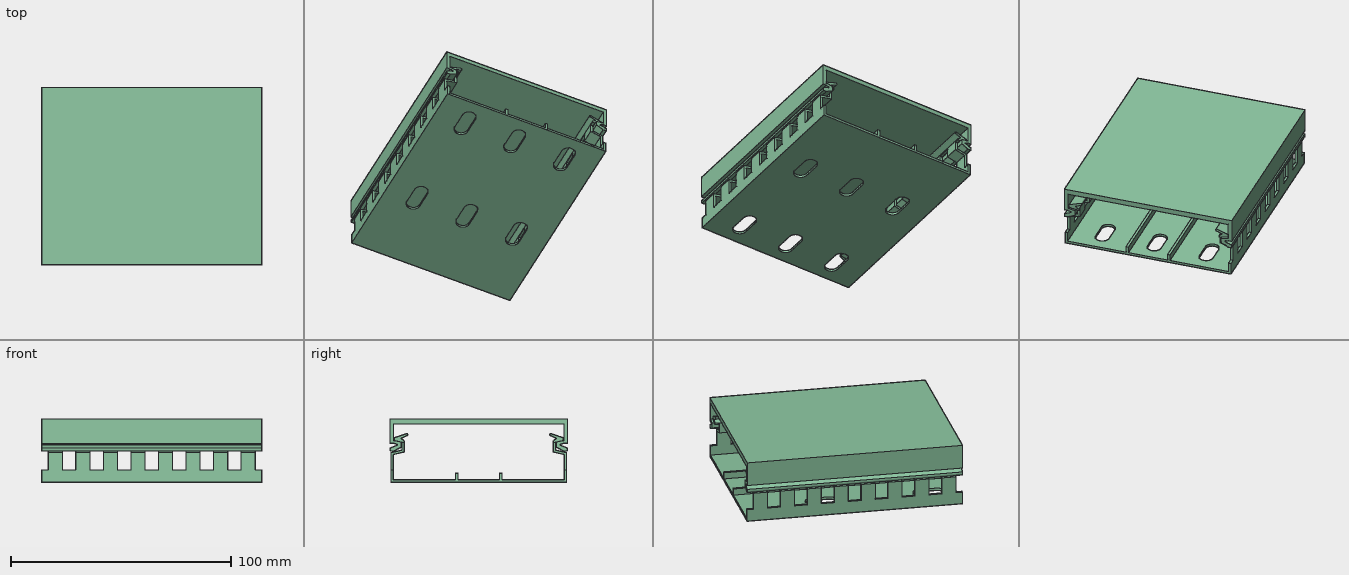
import cadquery as cq

LENGTH = 100.0
WIDTH = 80.6
HEIGHT = 28.8

TRAY_INSET = 0.4
TRAY_WALL = 1.2
TRAY_WALL_INNER = TRAY_INSET + TRAY_WALL
CURB_HEIGHT = 5.7
DIVIDER_SPACING = 20.0
DIVIDER_TOP = 4.2

SLOT_LENGTH = 14.5
SLOT_WIDTH = 6.5
SLOT_PITCH_X = 50.0
SLOT_PITCH_Y = 25.0
FIRST_SLOT_X = -37.5
SLOT_COLUMNS = 2
SLOT_ROWS = 3

FINGER_COUNT = 8
FINGER_PITCH = LENGTH / FINGER_COUNT
FINGER_WIDTH = 6.5
FINGER_TOP_Z = 18.1
SHOULDER_Z = 13.5
SHELF_UNDERSIDE_Z = 12.6
SHELF_RISE = 1.2
CATCH_OUTER = 5.4
CATCH_INNER = CATCH_OUTER + TRAY_WALL

RAIL_END_GAP = 1.0
RAIL_LENGTH = LENGTH - 2 * RAIL_END_GAP
RAIL_SHOULDER_Z = 18.7
HEEL_INSET = 2.0
HEEL_TOP_Z = 20.3
PRONG_ROOT = (5.1, 20.0)
PRONG_LOWER = (7.6, 21.1)
PRONG_TIP = (8.1, 21.7)
PRONG_UPPER = (7.3, 22.1)

COVER_TOP = 2.4
COVER_WALL = 1.7
COVER_EDGE_Z = 17.7
LEDGE_ROOT_Z = 19.0
LEDGE_END_Z = 18.3
LEDGE_INSET = 5.1
LEDGE_SLOPE = (LEDGE_END_Z - LEDGE_ROOT_Z) / (LEDGE_INSET - COVER_WALL)
HOOK_SHOULDER_Z = 15.9
GROOVE_INSET = 3.2
GROOVE_TOP_Z = 17.2
GROOVE_LOW_Z = 16.9
LIP_TOP_Z = 15.7
LIP_BOTTOM_Z = 14.2
LIP_ROUNDING = 0.2
LIP_HEEL_INSET = 1.8


def place(side, point):
    """Turn an (inset, z) point into (y, z) on the +Y (side 1) or -Y (side -1) half."""
    inset, z = point
    return (side * (WIDTH / 2 - inset), z)


def ledge_z(inset):
    """Height of the sloping ledge on which the snap rails rest."""
    return LEDGE_ROOT_Z + LEDGE_SLOPE * (inset - COVER_WALL)


def arc_section_bar(side, length, before_arc, arc_middle, after_arc):
    """Bar along X, centred on X = 0, whose outline has one arc, between the two point lists."""
    start, *rest = [place(side, point) for point in before_arc]
    arc_end, *remaining = [place(side, point) for point in after_arc]
    profile = cq.Workplane("YZ", origin=(-length / 2, 0, 0)).moveTo(*start)
    for point in rest:
        profile = profile.lineTo(*point)
    profile = profile.threePointArc(place(side, arc_middle), arc_end)
    for point in remaining:
        profile = profile.lineTo(*point)
    return profile.close().extrude(length)


def block(width, y, bottom, top):
    """Full-length bar centred on X = 0 and on the given y."""
    return cq.Workplane("XY", origin=(0, y, bottom)).rect(LENGTH, width).extrude(top - bottom)


def finger(side, center_x):
    """Side finger: wall, sloping shelf and upright catch."""
    outline = [
        (TRAY_INSET, CURB_HEIGHT),
        (TRAY_WALL_INNER, CURB_HEIGHT),
        (TRAY_WALL_INNER, SHELF_UNDERSIDE_Z),
        (CATCH_INNER, SHELF_UNDERSIDE_Z + SHELF_RISE),
        (CATCH_INNER, FINGER_TOP_Z),
        (CATCH_OUTER, FINGER_TOP_Z),
        (CATCH_OUTER, SHOULDER_Z + SHELF_RISE),
        (TRAY_INSET, SHOULDER_Z),
    ]
    plane = cq.Workplane("YZ", origin=(center_x - FINGER_WIDTH / 2, 0, 0))
    return plane.polyline([place(side, point) for point in outline]).close().extrude(FINGER_WIDTH)


def snap_rail(side):
    """Rail that closes the gaps between the fingers, with its inward prong."""
    up_to_prong = [
        (CATCH_OUTER, FINGER_TOP_Z),
        (CATCH_INNER, FINGER_TOP_Z),
        (CATCH_INNER, RAIL_SHOULDER_Z),
        PRONG_ROOT,
        PRONG_LOWER,
    ]
    back_along_ledge = [
        PRONG_UPPER,
        (HEEL_INSET, HEEL_TOP_Z),
        (HEEL_INSET, ledge_z(HEEL_INSET)),
        (CATCH_OUTER, ledge_z(CATCH_OUTER)),
    ]
    return arc_section_bar(side, RAIL_LENGTH, up_to_prong, PRONG_TIP, back_along_ledge)


def floor_slots():
    """Rounded mounting slots through the tray floor."""
    centers = [
        (FIRST_SLOT_X + column * SLOT_PITCH_X, (row - (SLOT_ROWS - 1) / 2) * SLOT_PITCH_Y)
        for column in range(SLOT_COLUMNS)
        for row in range(SLOT_ROWS)
    ]
    return cq.Workplane("XY").pushPoints(centers).slot2D(SLOT_LENGTH, SLOT_WIDTH).extrude(TRAY_WALL)


def make_tray():
    tray = block(WIDTH - 2 * TRAY_INSET, 0, 0, TRAY_WALL)
    for side in (1, -1):
        curb_y = side * (WIDTH / 2 - TRAY_INSET - TRAY_WALL / 2)
        tray = tray.union(block(TRAY_WALL, curb_y, 0, CURB_HEIGHT))
        tray = tray.union(block(TRAY_WALL, side * DIVIDER_SPACING / 2, 0, DIVIDER_TOP))
        for index in range(FINGER_COUNT):
            center_x = (index - (FINGER_COUNT - 1) / 2) * FINGER_PITCH
            tray = tray.union(finger(side, center_x))
        tray = tray.union(snap_rail(side))
    return tray.cut(floor_slots())


def cover_side(side):
    """Cover side wall with the latching ledge, the V groove and the rounded outer lip."""
    down_to_lip = [
        (0, HEIGHT),
        (0, COVER_EDGE_Z),
        (COVER_WALL, COVER_EDGE_Z),
        (GROOVE_INSET, GROOVE_TOP_Z),
        (GROOVE_INSET, GROOVE_LOW_Z),
        (LIP_ROUNDING, LIP_TOP_Z),
    ]
    back_up = [
        (LIP_ROUNDING, LIP_BOTTOM_Z),
        (LIP_HEEL_INSET, LIP_BOTTOM_Z),
        (LEDGE_INSET, HOOK_SHOULDER_Z),
        (LEDGE_INSET, LEDGE_END_Z),
        (COVER_WALL, LEDGE_ROOT_Z),
        (COVER_WALL, HEIGHT),
    ]
    nose = (0, (LIP_TOP_Z + LIP_BOTTOM_Z) / 2)
    return arc_section_bar(side, LENGTH, down_to_lip, nose, back_up)


def make_cover():
    cover = block(WIDTH, 0, HEIGHT - COVER_TOP, HEIGHT)
    for side in (1, -1):
        cover = cover.union(cover_side(side))
    return cover.clean()


tray = make_tray()
cover = make_cover()
result = cq.Compound.makeCompound([tray.val(), cover.val()])